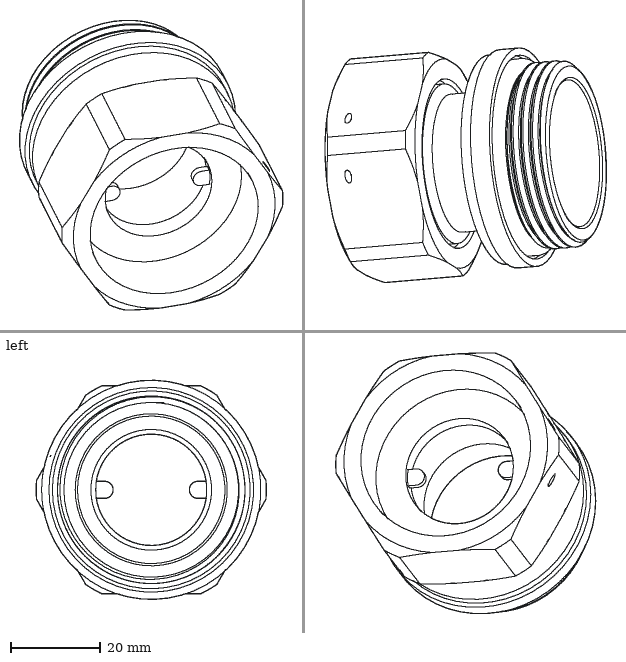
import cadquery as cq
import math


nut_length = 21.45
nut_start = 29.65
nut_end = nut_start + nut_length
nut_across_flats = 46.55
nut_corner_radius = 25.75
nut_face_radius = 23.5
nut_chamfer_length = 1.45
nut_lip_length = 2.25
nut_lip_radius = 19.0
nut_bore_radius = 19.55
seal_wire_hole_diameter = 1.5
seal_wire_hole_x = 45.7
seal_wire_hole_y = 23.0

thread_pitch = 2.3
thread_crest_radius = 20.95
thread_root_radius = 19.5
thread_depth = thread_crest_radius - thread_root_radius
thread_flat_width = 0.385
thread_end = 9.25
thread_end_chamfer_length = 1.05
ridge_embed = 0.15
chamfer_overrun = 0.25
crest_x_on_top = 3.3

seal_start = 9.5
seal_radius = 22.1
seal_fillet = 1.55
recess_radius = 22.85
recess_end = 12.85

flange_start = 11.5
flange_end = 16.0
flange_radius = 24.5
shoulder_end = 18.65
shoulder_radius = 23.55
neck_start = 20.0
neck_end = 28.5
neck_radius = 15.5
collar_radius = 17.9
collar_cone_angle = 60.0
collar_start = neck_end + (collar_radius - neck_radius) / math.tan(math.radians(collar_cone_angle))
lip_flange_start = nut_start + nut_lip_length
lip_flange_thickness = 2.05
lip_flange_end = lip_flange_start + lip_flange_thickness
lip_flange_clearance = 0.25
lip_flange_radius = nut_bore_radius - lip_flange_clearance

bore_radius = 16.45
bore_chamfer = 0.5
bore_taper_start = 16.7
bore_taper_end = 17.8
rear_bore_radius = 13.5

gasket_thickness = 4.65
gasket_inner_radius = 12.4
tongue_width = 3.85
tongue_thickness = 1.55
tongue_tip_y = 8.5
tongue_socket_depth = 1.55
tongue_start = lip_flange_end + (gasket_thickness - tongue_thickness) / 2


def revolve_about_x(profile):
    """Turn a closed XY profile (x along the axis, y as radius) a full turn about X."""
    return profile.close().revolve(360, (0, 0, 0), (1, 0, 0))


def cylinder_along_x(start, end, radius):
    return cq.Workplane("YZ").workplane(offset=start).circle(radius).extrude(end - start)


def make_thread_ridge():
    """Right-handed helical ridge, built about Z and then laid along X; it overruns both thread ends."""
    helix_start = crest_x_on_top - 2 * thread_pitch
    helix_length = thread_end + thread_pitch - helix_start
    crest_half_width = thread_flat_width / 2
    root_half_width = (thread_pitch - thread_flat_width) / 2
    flank_slope = (root_half_width - crest_half_width) / thread_depth
    base_radius = thread_root_radius - ridge_embed
    base_half_width = root_half_width + ridge_embed * flank_slope
    path = cq.Workplane(obj=cq.Wire.makeHelix(thread_pitch, helix_length, thread_root_radius))
    ridge = (
        cq.Workplane("XZ")
        .polyline([
            (base_radius, -base_half_width),
            (thread_crest_radius, -crest_half_width),
            (thread_crest_radius, crest_half_width),
            (base_radius, base_half_width),
        ])
        .close()
        .sweep(path, isFrenet=True)
    )
    return (
        ridge.translate((0, 0, helix_start))
        .rotate((0, 0, 0), (0, 0, 1), 180)
        .rotate((0, 0, 0), (0, 1, 0), 90)
    )


def make_thread():
    """Thread ridge chamfered at both ends, on a cylinder of the root radius."""
    chamfer_height = thread_depth + chamfer_overrun
    chamfer_envelope = revolve_about_x(
        cq.Workplane("XY")
        .moveTo(0, 0)
        .lineTo(0, thread_root_radius)
        .lineTo(chamfer_height, thread_root_radius + chamfer_height)
        .lineTo(thread_end - thread_end_chamfer_length, thread_root_radius + chamfer_height)
        .lineTo(thread_end, thread_root_radius)
        .lineTo(thread_end, 0)
    )
    core = cylinder_along_x(0, thread_end, thread_root_radius)
    return core.union(make_thread_ridge().intersect(chamfer_envelope))


def make_housing():
    """Threaded and flanged tube whose rear flange is held behind the lip of the nut."""
    outside = revolve_about_x(
        cq.Workplane("XY")
        .moveTo(thread_end, 0)
        .lineTo(thread_end, thread_root_radius)
        .lineTo(recess_end, thread_root_radius)
        .lineTo(recess_end, recess_radius)
        .lineTo(flange_start, recess_radius)
        .lineTo(flange_start, flange_radius)
        .lineTo(flange_end, flange_radius)
        .lineTo(flange_end, shoulder_radius)
        .lineTo(shoulder_end, shoulder_radius)
        .lineTo(neck_start, neck_radius)
        .lineTo(neck_end, neck_radius)
        .lineTo(collar_start, collar_radius)
        .lineTo(lip_flange_start, collar_radius)
        .lineTo(lip_flange_start, lip_flange_radius)
        .lineTo(lip_flange_end, lip_flange_radius)
        .lineTo(lip_flange_end, 0)
    )
    bore = revolve_about_x(
        cq.Workplane("XY")
        .moveTo(0, 0)
        .lineTo(0, bore_radius + bore_chamfer)
        .lineTo(bore_chamfer, bore_radius)
        .lineTo(bore_taper_start, bore_radius)
        .lineTo(bore_taper_end, rear_bore_radius)
        .lineTo(lip_flange_end, rear_bore_radius)
        .lineTo(lip_flange_end, 0)
    )
    return outside.union(make_thread()).cut(bore)


def make_seal_ring():
    """Ring that fills the bottom of the recess, rounded at its front outer edge."""
    fillet_x = seal_start + seal_fillet
    fillet_r = seal_radius - seal_fillet
    diagonal = seal_fillet * math.sqrt(0.5)
    return revolve_about_x(
        cq.Workplane("XY")
        .moveTo(seal_start, thread_root_radius)
        .lineTo(seal_start, fillet_r)
        .threePointArc((fillet_x - diagonal, fillet_r + diagonal), (fillet_x, seal_radius))
        .lineTo(recess_end, seal_radius)
        .lineTo(recess_end, thread_root_radius)
    )


def make_nut():
    """Hexagon with turned corners, an inner lip in front and a hole for a seal wire."""
    across_corners = nut_across_flats / math.cos(math.radians(30))
    hexagon = (
        cq.Workplane("YZ")
        .workplane(offset=nut_start)
        .polygon(6, across_corners)
        .extrude(nut_length)
    )
    turned_outside = revolve_about_x(
        cq.Workplane("XY")
        .moveTo(nut_start, 0)
        .lineTo(nut_start, nut_face_radius)
        .lineTo(nut_start + nut_chamfer_length, nut_corner_radius)
        .lineTo(nut_end - nut_chamfer_length, nut_corner_radius)
        .lineTo(nut_end, nut_face_radius)
        .lineTo(nut_end, 0)
    )
    seal_wire_hole = (
        cq.Workplane("XY")
        .center(seal_wire_hole_x, seal_wire_hole_y)
        .circle(seal_wire_hole_diameter / 2)
        .extrude(nut_across_flats, both=True)
    )
    return (
        hexagon.intersect(turned_outside)
        .cut(cylinder_along_x(nut_start, nut_end, nut_lip_radius))
        .cut(cylinder_along_x(lip_flange_start, nut_end, nut_bore_radius))
        .cut(seal_wire_hole)
    )


def make_tongue(side):
    """Flat tongue pointing inwards with a round tip; side is +1 or -1 along Y."""
    tip_centre_y = tongue_tip_y + tongue_width / 2
    outer_y = gasket_inner_radius + tongue_socket_depth
    tongue_length = outer_y - tip_centre_y
    return (
        cq.Workplane("YZ")
        .workplane(offset=tongue_start)
        .center(side * (tip_centre_y + tongue_length / 2), 0)
        .rect(tongue_length, tongue_width)
        .extrude(tongue_thickness)
        .union(
            cylinder_along_x(tongue_start, tongue_start + tongue_thickness, tongue_width / 2)
            .translate((0, side * tip_centre_y, 0))
        )
    )


def make_gasket(tongues):
    """Flat ring behind the housing, with a fitting socket for each tongue."""
    gasket_end = lip_flange_end + gasket_thickness
    gasket = (
        cylinder_along_x(lip_flange_end, gasket_end, lip_flange_radius)
        .cut(cylinder_along_x(lip_flange_end, gasket_end, gasket_inner_radius))
    )
    for tongue in tongues:
        gasket = gasket.cut(tongue)
    return gasket


housing = make_housing()
seal_ring = make_seal_ring()
nut = make_nut()
tongues = [make_tongue(side) for side in (1, -1)]
gasket = make_gasket(tongues)

result = cq.Compound.makeCompound([
    housing.val(),
    seal_ring.val(),
    nut.val(),
    gasket.val(),
    *[tongue.val() for tongue in tongues],
])